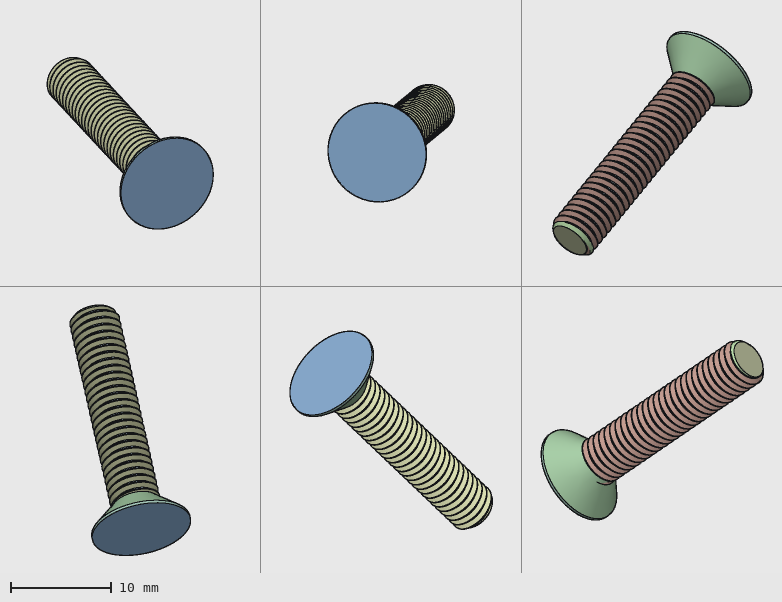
import cadquery as cq
import math

length = 25.0
head_radius = 5.0
rim_width = 0.3
shank_radius = 2.5
tip_radius = 1.98

pitch = 0.8
thread_depth = 0.61 * pitch
crest_width = pitch / 8
root_radius = shank_radius - thread_depth
flank_slope = math.tan(math.radians(30))
groove_start = -1.35
groove_end = 23.5

cone_end = length - rim_width
cone_tip = cone_end - head_radius

clearance = 0.5


def revolve_about_x(outline):
    """Solid of revolution from a closed (X, radius) outline."""
    return cq.Workplane("XY").polyline(outline).close().revolve(360, (0, 0, 0), (1, 0, 0))


def make_threaded_rod():
    """Rod along X with a helical V groove; it is overlong at the tip."""
    rod_start = groove_start - clearance
    rod = (
        cq.Workplane("XY")
        .workplane(offset=rod_start)
        .circle(shank_radius)
        .extrude(length - clearance - rod_start)
        .rotate((0, 0, 0), (0, 0, 1), 90)
    )

    overlap = 0.05
    crest_half = (pitch - crest_width) / 2
    outer_half = crest_half + overlap * flank_slope
    root_half = crest_half - thread_depth * flank_slope
    outer_radius = shank_radius + overlap
    helix = cq.Wire.makeHelix(pitch, groove_end - groove_start, shank_radius)
    groove = (
        cq.Workplane("XZ")
        .polyline([
            (root_radius, -root_half),
            (outer_radius, -outer_half),
            (outer_radius, outer_half),
            (root_radius, root_half),
        ])
        .close()
        .sweep(cq.Workplane(helix), isFrenet=True)
        .translate((0, 0, groove_start))
    )
    return rod.cut(groove).rotate((0, 0, 0), (0, 1, 0), 90)


def make_tip_envelope():
    """Flat tip with a 45 degree chamfer, clear of the thread everywhere else."""
    envelope_radius = shank_radius + clearance
    return revolve_about_x([
        (0, 0),
        (0, tip_radius),
        (envelope_radius - tip_radius, envelope_radius),
        (length, envelope_radius),
        (length, 0),
    ])


def make_head():
    """Countersunk cone with a narrow cylindrical rim."""
    return revolve_about_x([
        (cone_tip, 0),
        (cone_end, head_radius),
        (length, head_radius),
        (length, 0),
    ])


result = make_threaded_rod().intersect(make_tip_envelope()).union(make_head())